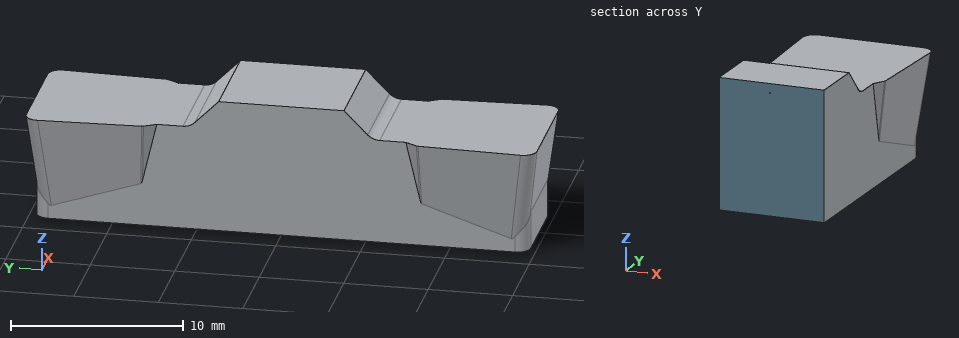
import cadquery as cq
import math

LENGTH = 30.25
HEAD_WIDTH = 8.05
HEIGHT = 8.08

BODY_WIDTH = 6.63
LAND_HEIGHT = 6.38
CORNER_RADIUS = 0.8

CREST_LENGTH = 7.42
SLOPE_ANGLE = 45.0
SLOPE_BLEND_RADIUS = 1.0

RELIEF_ANGLE = 7.0
SIDE_CLEARANCE_ANGLE = 2.35
END_RELIEF_DEPTH = 4.06
HEAD_SIDE_LENGTH = 7.0
NECK_LENGTH = 0.75
NECK_BLEND_RADIUS = 0.2
HEAD_ROOT_LENGTH = 2.0

RELIEF_SLOPE = math.tan(math.radians(RELIEF_ANGLE))
SIDE_SLOPE = math.tan(math.radians(SIDE_CLEARANCE_ANGLE))
BODY_LENGTH = LENGTH - 2 * END_RELIEF_DEPTH * RELIEF_SLOPE
SLOPE_RUN = (HEIGHT - LAND_HEIGHT) / math.tan(math.radians(SLOPE_ANGLE))


def make_body():
    """Straight bar with a raised middle and rounded vertical end corners."""
    end = BODY_LENGTH / 2
    crest_end = CREST_LENGTH / 2
    slope_foot = crest_end + SLOPE_RUN
    body = (
        cq.Workplane("YZ")
        .polyline([
            (-end, 0),
            (end, 0),
            (end, LAND_HEIGHT),
            (slope_foot, LAND_HEIGHT),
            (crest_end, HEIGHT),
            (-crest_end, HEIGHT),
            (-slope_foot, LAND_HEIGHT),
            (-end, LAND_HEIGHT),
        ])
        .close()
        .extrude(BODY_WIDTH / 2, both=True)
    )
    body = body.edges("|Z").fillet(CORNER_RADIUS)
    margin = SLOPE_RUN / 2
    for foot in (-slope_foot, slope_foot):
        near_foot = cq.selectors.BoxSelector(
            (-BODY_WIDTH, foot - margin, LAND_HEIGHT - margin),
            (BODY_WIDTH, foot + margin, LAND_HEIGHT + margin),
        )
        body = body.edges("|X").edges(near_foot).fillet(SLOPE_BLEND_RADIUS)
    return body


def leaning_edges_between(y_start, y_end):
    """Selector for the head's wall edges whose middles lie between two Y values."""
    z_low = LAND_HEIGHT / 4
    z_high = LAND_HEIGHT - z_low
    return cq.selectors.BoxSelector((-HEAD_WIDTH, y_start, z_low), (HEAD_WIDTH, y_end, z_high))


def make_head():
    """Head at the -Y end: walls lean inward going down, corners keep one radius."""
    end = -LENGTH / 2
    corner_trim = CORNER_RADIUS * (SIDE_SLOPE + math.hypot(1, SIDE_SLOPE) - 1)
    tip_half = HEAD_WIDTH / 2 + corner_trim
    side_half = tip_half - HEAD_SIDE_LENGTH * SIDE_SLOPE
    neck_half = BODY_WIDTH / 2
    side_end = end + HEAD_SIDE_LENGTH
    neck_end = side_end + NECK_LENGTH
    root_end = neck_end + HEAD_ROOT_LENGTH
    head = (
        cq.Workplane("XY", origin=(0, 0, LAND_HEIGHT))
        .polyline([
            (-tip_half, end),
            (tip_half, end),
            (side_half, side_end),
            (neck_half, neck_end),
            (neck_half, root_end),
            (-neck_half, root_end),
            (-neck_half, neck_end),
            (-side_half, side_end),
        ])
        .close()
        .extrude(-LAND_HEIGHT, taper=RELIEF_ANGLE)
    )
    middle_of_side = end + HEAD_SIDE_LENGTH / 2
    neck_middle = side_end + NECK_LENGTH / 2
    tip_edges = leaning_edges_between(end, middle_of_side)
    head = head.edges(tip_edges).fillet(CORNER_RADIUS)
    side_edges = leaning_edges_between(middle_of_side, neck_middle)
    return head.edges(side_edges).fillet(NECK_BLEND_RADIUS)


head = make_head()
result = make_body().union(head).union(head.mirror("XZ"))